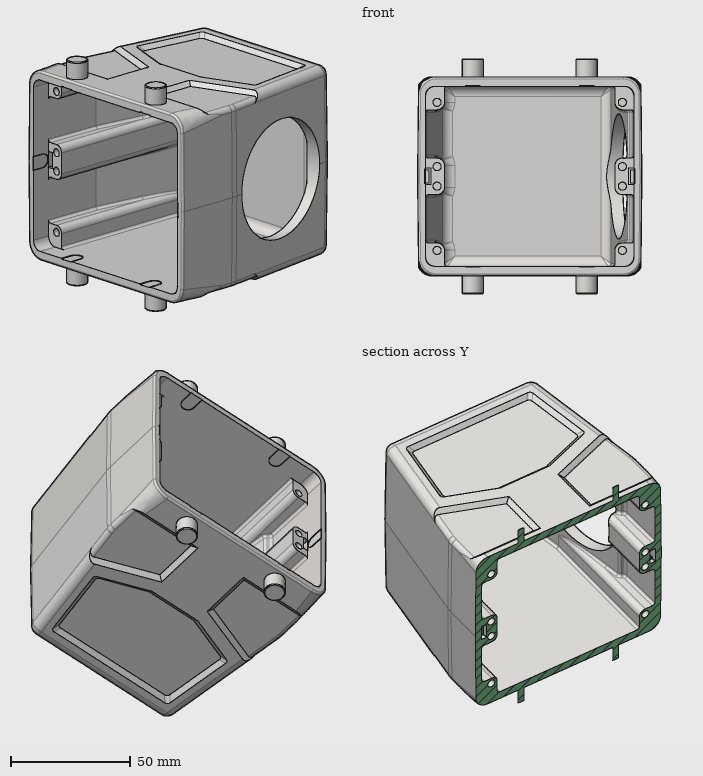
import cadquery as cq
import math

half_width = 47.0
depth = 94.0
half_height = 41.7
draft_angle = 0.6
side_lean = 8.0
kink_y = 30.0
kink_radius = 20.0
edge_radius = 4.0
rim_corner_radius = 7.5
rim_blend_length = 25.0
rim_round = 0.9

cavity_half_width = 43.7
cavity_kink_half_width = 43.2
cavity_half_height = 37.7
mouth_radius = 4.0
floor_radius = 4.3
inner_radius = 1.2
floor_y = 86.5
wall = 3.0
cable_wall = 5.5
cable_step_y = 32.0
cable_step_length = 1.5
cable_step_radius = 2.0

cable_hole_diameter = 52.5
cable_hole_y = 60.0

post_front_y = 8.6
post_face_x = 35.7
corner_post_z = 27.9
middle_post_half_height = 7.65
post_radius = 3.0
screw_x = 38.8
screw_z = (4.1, 31.0)
screw_diameter = 3.4
screw_depth = 15.0
notch_face_x = 41.3
notch_half_height = 3.5
notch_depth = 4.0
relief_face_x = 42.2
relief_half_height = 2.75
relief_depth = 2.0

pin_diameter = 9.0
pin_x = 23.85
pin_y = 6.35
pin_tip_z = 49.25
pin_chamfer = 0.4

rim_slot_width = 6.0
rim_slot_length = 8.5
rim_slot_depth = 0.3

panel_depth = 1.9
panel_lean = 48.0
panel_slant = 20.5
panel_inner_x = 12.4
panel_bottom_y = 43.2
panel_top_y = 86.1
panel_side_margin = 7.6
panel_radius = 2.5
grip_bottom_y = 13.0
grip_inner_top_y = 36.8
grip_edge_radius = 2.3

tolerance = 0.01
lean_slope = math.tan(math.radians(side_lean))
slant_slope = math.tan(math.radians(panel_slant))
draft_slope = math.tan(math.radians(draft_angle))


def side_x(y):
    """Half width of the shell at Z = 0."""
    return half_width - max(0.0, y - kink_y) * lean_slope


def box(x_range, y_range, z_range):
    """Axis-aligned block between pairs of limits."""
    sizes = [high - low for low, high in (x_range, y_range, z_range)]
    corner = (x_range[0], y_range[0], z_range[0])
    return cq.Workplane("XY").box(*sizes, centered=False).translate(corner)


def mirrored_in_z(body):
    """The body together with its mirror image below Z = 0."""
    return body.union(body.mirror("XY"))


def rim_section(y, top_z, radius):
    """Rounded cross-section of the open end, widest at Z = 0."""
    top_x = half_width - top_z * draft_slope
    corners = [
        (half_width, 0),
        (top_x, top_z),
        (-top_x, top_z),
        (-half_width, 0),
        (-top_x, -top_z),
        (top_x, -top_z),
    ]
    section = cq.Wire.makePolygon([cq.Vector(x, y, z) for x, z in corners], close=True)
    rounded = [vertex for vertex in section.Vertices() if abs(vertex.Z) > top_z / 2]
    return section.fillet2D(radius, rounded)


def rounded_half(top_z, radius):
    """Half of the hood above Z = 0, with one edge radius throughout."""
    outline = [
        (-half_width, 0),
        (half_width, 0),
        (half_width, kink_y),
        (side_x(depth), depth),
        (-side_x(depth), depth),
        (-half_width, kink_y),
    ]
    half = cq.Workplane("XY").polyline(outline).close().extrude(top_z, taper=draft_angle)
    upright = half.edges("not(#Z)")
    half = upright.filter(lambda edge: abs(edge.Center().y - kink_y) < 1).fillet(kink_radius)
    half = half.edges("not(#Z)").filter(lambda edge: edge.Center().y > depth - 1).fillet(radius)
    return half.faces(">Z").edges().filter(lambda edge: edge.Center().y > 1).fillet(radius)


def outer_shape():
    """Solid outside shape of the hood; the corner radius grows towards the rim."""
    behind_blend = box((-half_width, half_width), (rim_blend_length, depth), (-half_height, half_height))
    back = mirrored_in_z(rounded_half(half_height, edge_radius)).intersect(behind_blend)
    rim = rim_section(0, half_height, rim_corner_radius)
    blend_end = rim_section(rim_blend_length, half_height, edge_radius)
    front = cq.Solid.makeLoft([rim, blend_end], True)
    return back.union(cq.Workplane(front))


def post(low_z, high_z, rounded_corners):
    """One post on the +X side, reaching into the wall, with its free corners rounded."""
    block = box((post_face_x, half_width), (post_front_y, depth), (low_z, high_z))
    return block.edges("|Y and <X").edges(rounded_corners).fillet(post_radius)


def posts():
    """Three screw posts on each side wall."""
    middle = post(-middle_post_half_height, middle_post_half_height, "|Y")
    corner = post(corner_post_z, half_height, "<Z")
    right = middle.union(corner).union(corner.mirror("XY"))
    return right.union(right.mirror("YZ"))


def is_inner_corner(edge):
    """True for the corners along the post bases and along the edges of the thick +X wall."""
    middle = edge.Center()
    x, y, z = abs(middle.x), middle.y, abs(middle.z)
    if not post_front_y + tolerance < y < floor_y - tolerance:
        return False
    on_flat_wall = abs(z - cavity_half_height) < tolerance
    at_post_face = on_flat_wall and abs(x - post_face_x) < tolerance
    at_thick_wall = on_flat_wall and side_x(floor_y) - cable_wall < middle.x < post_face_x
    on_post_side = min(abs(z - corner_post_z), abs(z - middle_post_half_height)) < tolerance
    at_post_side = on_post_side and x > post_face_x + post_radius + tolerance
    return at_post_face or at_thick_wall or at_post_side


def is_mouth_corner(edge):
    """True for the four cavity corners between the rim and the posts."""
    middle = edge.Center()
    at_corner = abs(middle.x) > cavity_kink_half_width and abs(middle.z) > cavity_half_height - tolerance
    return at_corner and tolerance < middle.y < post_front_y - tolerance


def cavity():
    """Inside space, with the screw posts left standing."""
    step_end = cable_step_y + cable_step_length
    inner_kink_y = kink_y + (half_width - wall - cavity_kink_half_width) / lean_slope
    outline = [
        (-cavity_half_width, 0),
        (cavity_half_width, 0),
        (cavity_kink_half_width, cable_step_y),
        (side_x(step_end) - cable_wall, step_end),
        (side_x(floor_y) - cable_wall, floor_y),
        (-side_x(floor_y) + wall, floor_y),
        (-cavity_kink_half_width, inner_kink_y),
    ]
    space = (
        cq.Workplane("XY").workplane(offset=-cavity_half_height)
        .polyline(outline).close().extrude(2 * cavity_half_height)
    )
    at_step = cq.selectors.BoxSelector((35, cable_step_y - 1, -1), (50, step_end + 1, 1))
    space = space.edges("|Z").edges(at_step).fillet(cable_step_radius)
    space = space.cut(posts())
    space = space.edges().filter(is_mouth_corner).fillet(mouth_radius)
    space = space.faces(">Y").edges().fillet(floor_radius)
    return space.edges().filter(is_inner_corner).fillet(inner_radius)


def cable_hole():
    """Round hole square to the leaning +X wall."""
    axis = cq.Vector(math.cos(math.radians(side_lean)), math.sin(math.radians(side_lean)), 0)
    middle = cq.Vector(side_x(cable_hole_y) - cable_wall, cable_hole_y, 0)
    reach = 2 * cable_wall
    return cq.Solid.makeCylinder(cable_hole_diameter / 2, 2 * reach, middle - axis * cable_wall, axis)


def screw_holes():
    """Blind holes in the front ends of the posts."""
    points = [
        (side * screw_x, end * z) for side in (-1, 1) for end in (-1, 1) for z in screw_z
    ]
    return (
        cq.Workplane("XZ", origin=(0, post_front_y, 0))
        .pushPoints(points).circle(screw_diameter / 2).extrude(-screw_depth)
    )


def post_notches():
    """Stepped notches at the wall side of the middle posts."""
    right = box(
        (notch_face_x, cavity_half_width),
        (post_front_y, post_front_y + notch_depth),
        (-notch_half_height, notch_half_height),
    )
    relief_y = post_front_y + notch_depth
    relief = box(
        (relief_face_x, cavity_half_width),
        (relief_y, relief_y + relief_depth),
        (-relief_half_height, relief_half_height),
    )
    right = right.union(relief)
    return right.union(right.mirror("YZ"))


def rim_slot():
    """Slot of the inner faces, lying flat on Z = 0 and running in from the rim."""
    radius = rim_slot_width / 2
    straight = rim_slot_length - radius
    return (
        cq.Workplane("XY").moveTo(-radius, 0).lineTo(-radius, straight)
        .threePointArc((0, rim_slot_length), (radius, straight)).lineTo(radius, 0).close()
        .extrude(rim_slot_depth)
    )


def rim_slots():
    """One slot behind each pin and one in the middle of each side wall."""
    above = rim_slot().translate((pin_x, 0, cavity_half_height))
    above = above.union(above.mirror("YZ"))
    beside = rim_slot().rotate((0, 0, 0), (0, 1, 0), 90).translate((cavity_half_width, 0, 0))
    return mirrored_in_z(above).union(beside).union(beside.mirror("YZ"))


def pins():
    """Four locking pins standing on the top and bottom walls."""
    upper = (
        cq.Workplane("XY").workplane(offset=cavity_half_height + rim_slot_depth)
        .pushPoints([(-pin_x, pin_y), (pin_x, pin_y)]).circle(pin_diameter / 2)
        .extrude(pin_tip_z - cavity_half_height - rim_slot_depth)
        .faces(">Z").chamfer(pin_chamfer)
    )
    return mirrored_in_z(upper)


def bevelled_recess(outline, recess_depth):
    """Recess tool sunk from the top face, its walls leaning outwards."""
    top = cq.Workplane("XY").workplane(offset=half_height)
    return top.polyline(outline).close().extrude(-recess_depth, taper=panel_lean)


def label_panel():
    """Large recessed field near the closed end, pointed towards the rim."""
    shoulder_slope = slant_slope / (1 + slant_slope * lean_slope)
    bottom_half_width = side_x(panel_bottom_y) - panel_side_margin
    shoulder_y = panel_bottom_y + (bottom_half_width - panel_inner_x) * shoulder_slope
    shoulder_x = side_x(shoulder_y) - panel_side_margin
    top_x = side_x(panel_top_y) - panel_side_margin
    panel = bevelled_recess([
        (-panel_inner_x, panel_bottom_y),
        (panel_inner_x, panel_bottom_y),
        (shoulder_x, shoulder_y),
        (top_x, panel_top_y),
        (-top_x, panel_top_y),
        (-shoulder_x, shoulder_y),
    ], panel_depth)
    corners = panel.edges("not(#Z)").filter(lambda edge: edge.Center().y > (panel_bottom_y + shoulder_y) / 2)
    return corners.fillet(panel_radius)


def grip_panels():
    """Recessed fields beside the pins, open to the sides over a rounded edge."""
    beyond_x = half_width + panel_depth + 2 * edge_radius
    right = bevelled_recess([
        (panel_inner_x, grip_bottom_y),
        (beyond_x, grip_bottom_y),
        (beyond_x, grip_inner_top_y + (beyond_x - panel_inner_x) * slant_slope),
        (panel_inner_x, grip_inner_top_y),
    ], panel_depth + grip_edge_radius)
    kept = rounded_half(half_height - panel_depth, grip_edge_radius)
    return right.union(right.mirror("YZ")).cut(kept)


def hood():
    """The finished part."""
    body = outer_shape()
    body = body.faces("<Y").edges().fillet(rim_round)
    body = body.cut(mirrored_in_z(label_panel().union(grip_panels()))).cut(cavity())
    body = body.cut(cq.Workplane(cable_hole())).cut(screw_holes()).cut(post_notches())
    return body.cut(rim_slots()).union(pins())


result = hood()